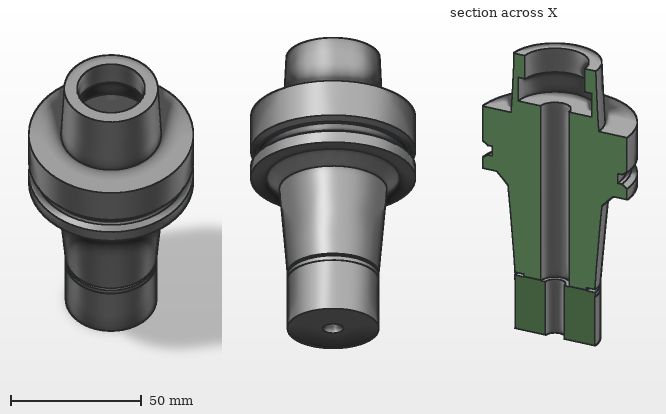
import cadquery as cq

total_height = 115.0
nut_rim_bottom = 20.6
nut_top = 22.4
shank_bottom = 23.5
shank_top = 59.1
flange_bottom = 63.9
groove_bottom = 70.2
groove_top = 74.0
flange_top = 90.0
groove_chamfer_height = 1.5

flange_radius = 31.5
groove_lip_radius = 29.2
groove_radius = 27.5
shoulder_radius = 25.4
shank_top_radius = 20.6
shank_bottom_radius = 17.5
neck_radius = 13.8
taper_base_radius = 19.2
taper_top_radius = 17.9
nut_rim_radius = 17.6
nut_step = 0.1

mouth_radius = 13.0
mouth_depth = 9.9
chamber_radius = 16.0
chamber_floor_depth = 19.5
holder_bore_radius = 6.1
nut_bore_radius = 4.0


def revolve_profile(points):
    """Turn a closed (radius, height) outline around the Z axis."""
    return cq.Workplane("XZ").polyline(points).close().revolve(360, (0, 0, 0), (0, 1, 0))


def make_holder():
    """Hollow taper, grooved flange and conical shank, with a short neck resting on the nut."""
    mouth_bottom = total_height - mouth_depth
    chamber_floor = total_height - chamber_floor_depth
    neck = [
        (holder_bore_radius, nut_top),
        (neck_radius, nut_top),
        (neck_radius, shank_bottom),
    ]
    shank = [
        (shank_bottom_radius, shank_bottom),
        (shank_top_radius, shank_top),
        (shoulder_radius, flange_bottom),
    ]
    flange = [
        (flange_radius, flange_bottom),
        (flange_radius, groove_bottom - groove_chamfer_height),
        (groove_lip_radius, groove_bottom),
        (groove_radius, groove_bottom),
        (groove_radius, groove_top),
        (groove_lip_radius, groove_top),
        (flange_radius, groove_top + groove_chamfer_height),
        (flange_radius, flange_top),
    ]
    taper = [
        (taper_base_radius, flange_top),
        (taper_top_radius, total_height),
    ]
    interior = [
        (mouth_radius, total_height),
        (mouth_radius, mouth_bottom),
        (chamber_radius, mouth_bottom),
        (chamber_radius, chamber_floor),
        (holder_bore_radius, chamber_floor),
    ]
    return revolve_profile(neck + shank + flange + taper + interior)


def make_nut():
    """Cylindrical nut with a slightly larger upper rim and a through bore."""
    nut_radius = nut_rim_radius - nut_step
    return revolve_profile([
        (nut_bore_radius, 0),
        (nut_radius, 0),
        (nut_radius, nut_rim_bottom),
        (nut_rim_radius, nut_rim_bottom),
        (nut_rim_radius, nut_top),
        (nut_bore_radius, nut_top),
    ])


holder = make_holder()
nut = make_nut()

result = cq.Compound.makeCompound([holder.val(), nut.val()])